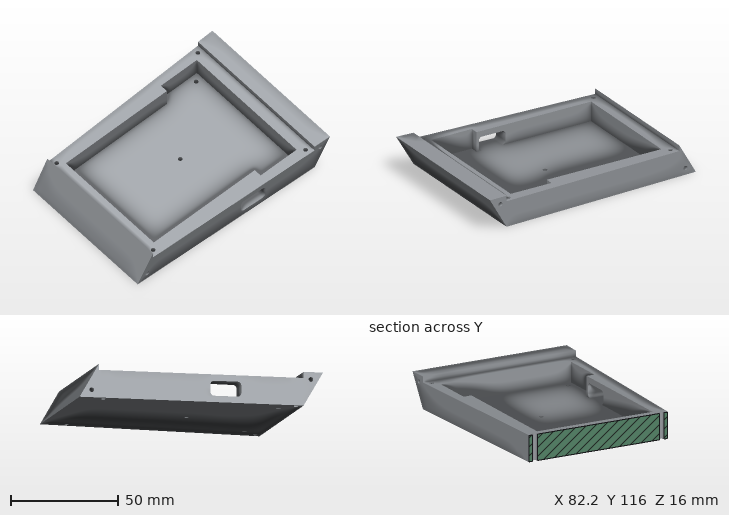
import cadquery as cq
import math

length = 116.0
height = 16.0
back_width = 82.2
front_width = 73.2
rake = 9.3
deck_drop = 2.9
deck_z = height - deck_drop

floor_z = 3.0
pocket_length = 85.3
wide_pocket_width = 69.7
wide_pocket_length = 22.4
narrow_pocket_width = 61.5

hole_diameter = 2.2
back_screw_x = 37.7
front_screw_x = 33.7
screw_y = 45.8
board_screw_x = 31.3
board_screw_y = 39.1
middle_hole = (-2.8, 3.7)
side_hole_inset = 5.8
side_hole_offset = 3.5
side_hole_depth = 5.8
drill_point_angle = 118

window_y_center = 11.7
window_length = 14.6
window_height = 7.1
window_radius = 1.7

half_length = length / 2


def half_width_at(y):
    """Half of the body width at a given Y position."""
    return (front_width + (back_width - front_width) * (y + half_length) / length) / 2


def make_body():
    """Side profile with two lips, trimmed to the tapered plan outline."""
    profile = [
        (-half_length, 0),
        (half_length - rake, 0),
        (half_length, height),
        (half_length - rake, height),
        (half_length - rake, deck_z),
        (rake - half_length, deck_z),
        (rake - half_length, height),
    ]
    plan = [
        (-front_width / 2, -half_length),
        (front_width / 2, -half_length),
        (back_width / 2, half_length),
        (-back_width / 2, half_length),
    ]
    raked = cq.Workplane("YZ").polyline(profile).close().extrude(back_width / 2, both=True)
    return raked.intersect(cq.Workplane("XY").polyline(plan).close().extrude(height))


def make_pocket():
    """T-shaped pocket, wide at the back and narrow at the front."""
    narrow = cq.Workplane("XY", origin=(0, 0, floor_z)).rect(narrow_pocket_width, pocket_length)
    wide_y = (pocket_length - wide_pocket_length) / 2
    wide = cq.Workplane("XY", origin=(0, wide_y, floor_z)).rect(wide_pocket_width, wide_pocket_length)
    return narrow.extrude(height).union(wide.extrude(height))


def make_vertical_holes():
    """Screw holes that pass right through the deck and the floor."""
    points = [middle_hole]
    for side in (-1, 1):
        points.append((side * back_screw_x, screw_y))
        points.append((side * front_screw_x, -screw_y))
        points.append((side * board_screw_x, board_screw_y))
    return cq.Workplane("XY").pushPoints(points).circle(hole_diameter / 2).extrude(height)


def make_side_hole(side, y, z):
    """Blind drilled hole along X with a conical tip, entering a side wall."""
    radius = hole_diameter / 2
    tip_length = radius / math.tan(math.radians(drill_point_angle / 2))
    entry_x = back_width / 2
    straight_end_x = half_width_at(y) - side_hole_depth
    half_section = [
        (entry_x, 0),
        (entry_x, radius),
        (straight_end_x, radius),
        (straight_end_x - tip_length, 0),
    ]
    drill = cq.Workplane("XY").polyline(half_section).close().revolve(360, (0, 0, 0), (1, 0, 0))
    if side < 0:
        drill = drill.mirror("YZ")
    return drill.translate((0, y, z))


def make_window():
    """Rounded opening whose lower face is level with the pocket floor."""
    window_z = floor_z + window_height / 2
    opening = cq.Workplane("YZ", origin=(0, window_y_center, window_z)).rect(window_length, window_height)
    return opening.extrude(back_width / 2).edges("|X").fillet(window_radius)


result = make_body().cut(make_pocket()).cut(make_vertical_holes()).cut(make_window())
for side in (-1, 1):
    result = result.cut(make_side_hole(side, half_length - side_hole_inset, height - side_hole_offset))
    result = result.cut(make_side_hole(side, side_hole_inset - half_length, side_hole_offset))